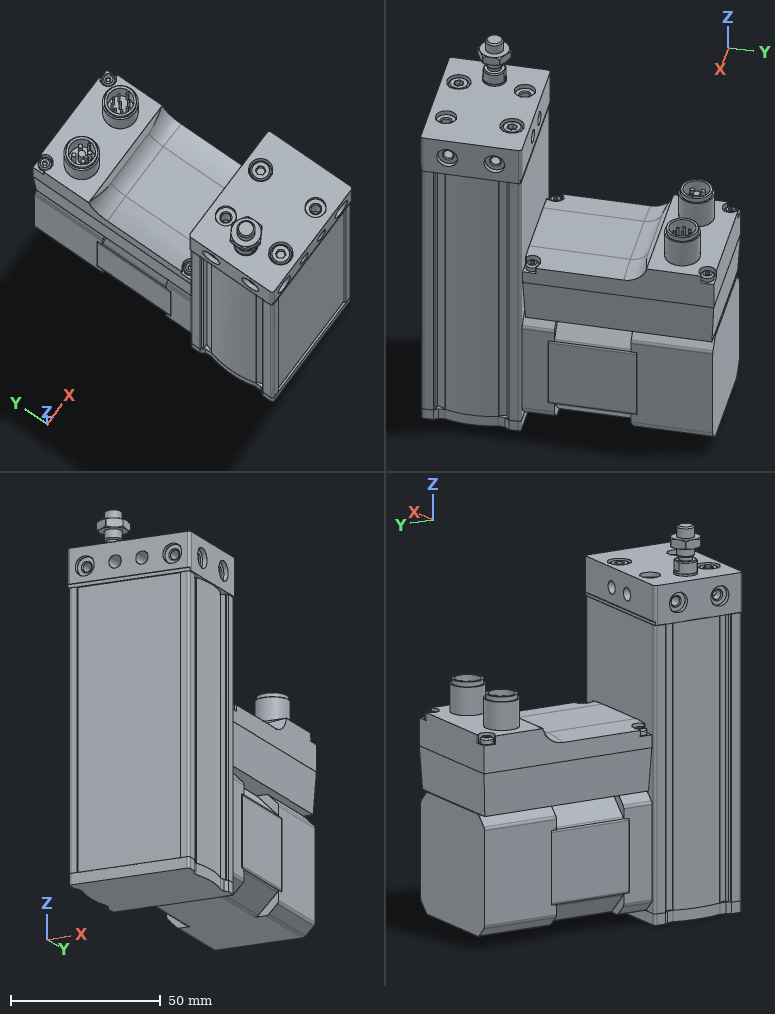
import cadquery as cq
import math


TOTAL_HEIGHT = 134.2
CAP_TOP = 4.0
HEAD_BOTTOM = 103.7
HEAD_TOP = 117.5

HEAD_WIDTH = 45.8
HEAD_DEPTH = 34.6
HEAD_CORNER_RADIUS = 1.1
HEAD_LEDGE_HEIGHT = 1.2
HEAD_LEDGE_STEP = 0.4
CROSS_HOLE_DIAMETER = 4.5
CROSS_HOLE_X = 5.0
SIDE_HOLE_Z = 110.6
SIDE_HOLE_Y = 8.0
FRONT_HOLE_X = 16.2
TOP_HOLE_X = 9.9
TOP_HOLE_Y = 11.3
RECESS_DIAMETER = 7.0
RECESS_DEPTH = 1.6
THREAD_DIAMETER = 3.2
THREAD_MOUTH_DIAMETER = 4.0
THREADED_HOLE_DEPTH = 10.0

SCREW_BORE_DIAMETER = 8.0
SCREW_BORE_DEPTH = 4.0
SCREW_HEAD_DIAMETER = 7.0
SCREW_HEAD_SINK = 0.4
SCREW_HEAD_CHAMFER = 0.5
SCREW_SOCKET_FLATS = 3.0
SCREW_SOCKET_DEPTH = 2.0

PROFILE_HALF_WIDTH = 22.4
PROFILE_HALF_DEPTH = 17.0
PROFILE_CORNER_RADIUS = 1.0
PANEL_HALF_WIDTH = 19.2
PANEL_RECESS = 0.8
BULGE_HALF_DEPTH = 9.1
BULGE_RISE = 1.2
SLOT_OUTER_Y = 12.9
SLOT_LIP = 0.8
SLOT_DEPTH = 2.7
SLOT_BULGE_DEPTH = 1.6
CAP_NOTCH_SLOPE = 1.5
CAP_NOTCH_DEPTH = 1.1

ROD_X = -14.1
ROD_DIAMETER = 8.0
COLLAR_DIAMETER = 7.8
COLLAR_BOTTOM = 118.2
COLLAR_FLATS = 7.1
FLATS_BOTTOM = 118.9
COLLAR_TOP = 122.4
COLLAR_CHAMFER = 0.4
NECK_DIAMETER = 4.7
NECK_TOP = 123.6
ROD_THREAD_DIAMETER = 6.0
ROD_THREAD_CHAMFER = 0.5
NUT_BOTTOM = 127.1
NUT_HEIGHT = 3.2
NUT_FLATS = 10.0
NUT_CORNER_DIAMETER = 11.5
NUT_CORNER_BEVEL = 0.4

MOTOR_BOTTOM = 4.0
MOTOR_TOP = 46.3
MOTOR_BACK = 82.1
MOTOR_HALF_WIDTH = 20.8
MOTOR_END_CHAMFER = 4.0
MOTOR_MID_CHAMFER = 8.0
MOTOR_EDGE_RADIUS = 1.6
MOTOR_MID_FRONT = 28.0
MOTOR_MID_BACK = 54.2
MOTOR_PLATE_OVERLAP = 2.0
MOTOR_PLATE_RISE = 0.3
MOTOR_PLATE_RADIUS = 0.8

ELECTRONICS_FRONT = 17.3
ELECTRONICS_BACK = 82.5
ELECTRONICS_HALF_WIDTH = 21.1
ELECTRONICS_INSET = 0.8
LID_BOTTOM = 61.3
LID_TOP = 73.8
DECK_Z = 69.0
DECK_HALF_FLAT = 10.7
DECK_EDGE_DROP = 1.1
DECK_BACK = 51.8
DECK_RAMP_RADIUS = 7.1
RAMP_TOP_Y = 59.6
RAMP_EDGE_Y = 57.8
LID_SCREW_X = 18.1
LID_SCREW_BACK_Y = 79.7
LID_SCREW_FRONT_Y = 20.0
LID_POCKET_DIAMETER = 5.5
LID_CORNER_NOTCH = 4.4
LID_POCKET_BACK_FLOOR = 71.0
LID_POCKET_FRONT_FLOOR = 65.8
LID_SCREW_DIAMETER = 4.4
LID_SCREW_HEIGHT = 2.1
LID_SCREW_CHAMFER = 0.7
LID_SOCKET_FLATS = 1.5
LID_SOCKET_DEPTH = 1.3

CONNECTOR_X = 11.0
CONNECTOR_Y = 69.6
CONNECTOR_TOP = 85.2
CONNECTOR_DIAMETER = 12.0
CONNECTOR_RIM_DIAMETER = 10.7
CONNECTOR_RIM_HEIGHT = 1.6
CONNECTOR_BORE_DIAMETER = 9.0
CONNECTOR_BORE_DEPTH = 8.0
PIN_SINK = 1.9
POWER_PIN_DIAMETER = 1.5
POWER_PIN_OFFSET = 1.9
POWER_POST_DIAMETER = 2.4
POWER_RIB_WIDTH = 0.8
POWER_RIB_REACH = 2.4
SIGNAL_PIN_DIAMETER = 0.8
SIGNAL_PIN_RADIUS = 2.8
SIGNAL_PIN_POSITIONS = 8
KEY_WIDTH = 0.8
KEY_DEPTH = 0.8


def box(x0, x1, y0, y1, z0, z1):
    """Box between two opposite corners."""
    return cq.Workplane("XY").box(x1 - x0, y1 - y0, z1 - z0, centered=False).translate((x0, y0, z0))


def cylinder(diameter, x, y, z0, z1):
    """Vertical cylinder between two heights."""
    return cq.Workplane("XY", origin=(x, y, z0)).circle(diameter / 2).extrude(z1 - z0)


def hexagon(flats, x, y, z0, z1, turn=0):
    """Vertical hexagonal prism with corners on +X and -X, turned about its axis by an angle."""
    corners = flats / math.cos(math.pi / 6)
    prism = cq.Workplane("XY").polygon(6, corners).extrude(z1 - z0)
    return prism.rotate((0, 0, 0), (0, 0, 1), turn).translate((x, y, z0))


def threaded_hole_tool(point, inward):
    """Recess, bevelled mouth, drilled hole and drill tip, running from a surface point inward."""
    mouth_bevel = (THREAD_MOUTH_DIAMETER - THREAD_DIAMETER) / 2
    tip_length = THREAD_DIAMETER / 2 * math.tan(math.radians(30))
    tool = (
        cq.Workplane("XZ")
        .moveTo(0, 0)
        .lineTo(RECESS_DIAMETER / 2, 0)
        .lineTo(RECESS_DIAMETER / 2, RECESS_DEPTH)
        .lineTo(THREAD_MOUTH_DIAMETER / 2, RECESS_DEPTH)
        .lineTo(THREAD_DIAMETER / 2, RECESS_DEPTH + mouth_bevel)
        .lineTo(THREAD_DIAMETER / 2, THREADED_HOLE_DEPTH - tip_length)
        .lineTo(0, THREADED_HOLE_DEPTH)
        .close()
        .revolve(360, (0, 0, 0), (0, 1, 0))
    )
    placement = cq.Location(cq.Plane(origin=point, normal=inward))
    return cq.Workplane(tool.val().moved(placement))


def head_screw(x, y):
    """Socket-head screw head standing in its bore."""
    top = HEAD_TOP - SCREW_HEAD_SINK
    screw = cylinder(SCREW_HEAD_DIAMETER, x, y, HEAD_TOP - SCREW_BORE_DEPTH, top)
    screw = screw.faces(">Z").edges().chamfer(SCREW_HEAD_CHAMFER)
    return screw.cut(hexagon(SCREW_SOCKET_FLATS, x, y, top - SCREW_SOCKET_DEPTH, top))


def make_head():
    half_width = HEAD_WIDTH / 2
    half_depth = HEAD_DEPTH / 2
    head = box(-half_width, half_width, -half_depth, half_depth, HEAD_BOTTOM, HEAD_TOP)
    head = head.edges("|Z").fillet(HEAD_CORNER_RADIUS)

    ledge_top = HEAD_BOTTOM + HEAD_LEDGE_HEIGHT
    ledge_y = half_depth - HEAD_LEDGE_STEP
    head = head.cut(box(-half_width, half_width, -half_depth, -ledge_y, HEAD_BOTTOM, ledge_top))
    head = head.cut(box(-half_width, half_width, ledge_y, half_depth, HEAD_BOTTOM, ledge_top))

    for x in (-CROSS_HOLE_X, CROSS_HOLE_X):
        hole = cq.Workplane("XZ", origin=(x, half_depth, SIDE_HOLE_Z)).circle(CROSS_HOLE_DIAMETER / 2)
        head = head.cut(hole.extrude(HEAD_DEPTH))

    for sign in (-1, 1):
        front_point = (sign * FRONT_HOLE_X, -half_depth, SIDE_HOLE_Z)
        top_point = (sign * TOP_HOLE_X, -sign * TOP_HOLE_Y, HEAD_TOP)
        head = head.cut(threaded_hole_tool(front_point, (0, 1, 0)))
        for side in (-1, 1):
            side_point = (side * half_width, sign * SIDE_HOLE_Y, SIDE_HOLE_Z)
            head = head.cut(threaded_hole_tool(side_point, (-side, 0, 0)))
        head = head.cut(threaded_hole_tool(top_point, (0, 0, -1)))

    for sign in (-1, 1):
        x = sign * TOP_HOLE_X
        y = sign * TOP_HOLE_Y
        head = head.cut(cylinder(SCREW_BORE_DIAMETER, x, y, HEAD_TOP - SCREW_BORE_DEPTH, HEAD_TOP))
        head = head.union(head_screw(x, y))

    return head.cut(cylinder(ROD_DIAMETER, ROD_X, 0, HEAD_BOTTOM, HEAD_TOP))


def bulged_section(z0, z1, notch):
    """Rounded rectangle whose sides have a shallow bulge between two notches of the given points.

    Each notch point is (distance from Y = 0, depth below the side), from the corner to the bulge.
    """
    section = box(
        -PROFILE_HALF_WIDTH, PROFILE_HALF_WIDTH, -PROFILE_HALF_DEPTH, PROFILE_HALF_DEPTH, z0, z1
    )
    section = section.edges("|Z").fillet(PROFILE_CORNER_RADIUS)
    side = PROFILE_HALF_WIDTH
    path = [(side - depth, -y) for y, depth in notch]
    mirrored = [(x, -y) for x, y in reversed(path)]
    bulge_x = side - BULGE_RISE
    tool = (
        cq.Workplane("XY", origin=(0, 0, z0))
        .polyline(path)
        .lineTo(bulge_x, -BULGE_HALF_DEPTH)
        .threePointArc((side, 0), (bulge_x, BULGE_HALF_DEPTH))
        .lineTo(*mirrored[0])
    )
    for point in mirrored[1:]:
        tool = tool.lineTo(*point)
    overrun = side + BULGE_RISE
    tool = tool.lineTo(overrun, SLOT_OUTER_Y).lineTo(overrun, -SLOT_OUTER_Y).close().extrude(z1 - z0)
    return section.cut(tool).cut(tool.mirror("YZ"))


def make_profile():
    slot_wall = SLOT_OUTER_Y - SLOT_LIP
    notch = [
        (SLOT_OUTER_Y, SLOT_LIP),
        (slot_wall, SLOT_LIP),
        (slot_wall, SLOT_DEPTH),
        (BULGE_HALF_DEPTH, SLOT_BULGE_DEPTH),
    ]
    profile = bulged_section(CAP_TOP, HEAD_BOTTOM, notch)
    panel_y = -PROFILE_HALF_DEPTH + PANEL_RECESS
    panel = box(
        -PANEL_HALF_WIDTH, PANEL_HALF_WIDTH, -PROFILE_HALF_DEPTH, panel_y, CAP_TOP, HEAD_BOTTOM
    )
    return profile.cut(panel)


def make_end_cap():
    notch = [(SLOT_OUTER_Y, 0), (SLOT_OUTER_Y - CAP_NOTCH_SLOPE, CAP_NOTCH_DEPTH)]
    return bulged_section(0, CAP_TOP, notch)


def make_rod():
    shank = cylinder(ROD_DIAMETER, ROD_X, 0, HEAD_BOTTOM, COLLAR_BOTTOM)
    collar = cylinder(COLLAR_DIAMETER, ROD_X, 0, COLLAR_BOTTOM, COLLAR_TOP)
    collar = collar.faces(">Z").edges().chamfer(COLLAR_CHAMFER)

    half_flats = COLLAR_FLATS / 2
    outside = COLLAR_DIAMETER / 2
    left = ROD_X - outside
    right = ROD_X + outside
    collar = collar.cut(box(left, right, half_flats, outside, FLATS_BOTTOM, COLLAR_TOP))
    collar = collar.cut(box(left, right, -outside, -half_flats, FLATS_BOTTOM, COLLAR_TOP))

    neck = cylinder(NECK_DIAMETER, ROD_X, 0, COLLAR_TOP, NECK_TOP)
    thread = cylinder(ROD_THREAD_DIAMETER, ROD_X, 0, NECK_TOP, TOTAL_HEIGHT)
    thread = thread.faces("<Z or >Z").edges().chamfer(ROD_THREAD_CHAMFER)
    return shank.union(collar).union(neck).union(thread)


def make_nut():
    nut_top = NUT_BOTTOM + NUT_HEIGHT
    nut = hexagon(NUT_FLATS, ROD_X, 0, NUT_BOTTOM, nut_top, 30)
    envelope = cylinder(NUT_CORNER_DIAMETER, ROD_X, 0, NUT_BOTTOM, nut_top)
    bevel_width = (NUT_CORNER_DIAMETER - NUT_FLATS) / 2
    envelope = envelope.faces("<Z or >Z").edges().chamfer(NUT_CORNER_BEVEL, bevel_width)
    nut = nut.intersect(envelope)
    return nut.cut(cylinder(ROD_THREAD_DIAMETER, ROD_X, 0, NUT_BOTTOM, nut_top))


def motor_block(y0, y1, chamfer):
    """Square motor section with chamfered and rounded long edges."""
    block = box(-MOTOR_HALF_WIDTH, MOTOR_HALF_WIDTH, y0, y1, MOTOR_BOTTOM, MOTOR_TOP)
    return block.edges("|Y").chamfer(chamfer).edges("|Y").fillet(MOTOR_EDGE_RADIUS)


def make_motor():
    motor = motor_block(MOTOR_MID_FRONT, MOTOR_MID_BACK, MOTOR_MID_CHAMFER)
    motor = motor.union(motor_block(PROFILE_HALF_DEPTH, MOTOR_MID_FRONT, MOTOR_END_CHAMFER))
    motor = motor.union(motor_block(MOTOR_MID_BACK, MOTOR_BACK, MOTOR_END_CHAMFER))

    plate_x = MOTOR_HALF_WIDTH + MOTOR_PLATE_RISE
    plate = box(
        -plate_x,
        plate_x,
        MOTOR_MID_FRONT - MOTOR_PLATE_OVERLAP,
        MOTOR_MID_BACK + MOTOR_PLATE_OVERLAP,
        MOTOR_BOTTOM + MOTOR_MID_CHAMFER,
        MOTOR_TOP - MOTOR_MID_CHAMFER,
    )
    return motor.union(plate.edges("|Y").fillet(MOTOR_PLATE_RADIUS))


def make_electronics_base():
    """Box that narrows downward on all four sides."""
    height = LID_BOTTOM - MOTOR_TOP
    draft = math.degrees(math.atan(ELECTRONICS_INSET / height))
    middle_y = (ELECTRONICS_FRONT + ELECTRONICS_BACK) / 2
    return (
        cq.Workplane("XY", origin=(0, middle_y, LID_BOTTOM))
        .rect(2 * ELECTRONICS_HALF_WIDTH, ELECTRONICS_BACK - ELECTRONICS_FRONT)
        .extrude(-height, taper=draft)
    )


def deck_section(y):
    """Space above the low deck: flat in the middle, rounded down towards both flanks."""
    axis_z = DECK_Z + DECK_RAMP_RADIUS
    run = ELECTRONICS_HALF_WIDTH - DECK_HALF_FLAT
    flank_radius = (run**2 + DECK_EDGE_DROP**2) / (2 * DECK_EDGE_DROP)
    half_run = run / 2
    half_drop = flank_radius - math.sqrt(flank_radius**2 - half_run**2)
    middle_x = DECK_HALF_FLAT + half_run
    middle_z = DECK_Z - half_drop
    edge_z = DECK_Z - DECK_EDGE_DROP
    return (
        cq.Workplane("XZ", origin=(0, y, 0))
        .moveTo(-ELECTRONICS_HALF_WIDTH, axis_z)
        .lineTo(-ELECTRONICS_HALF_WIDTH, edge_z)
        .threePointArc((-middle_x, middle_z), (-DECK_HALF_FLAT, DECK_Z))
        .lineTo(DECK_HALF_FLAT, DECK_Z)
        .threePointArc((middle_x, middle_z), (ELECTRONICS_HALF_WIDTH, edge_z))
        .lineTo(ELECTRONICS_HALF_WIDTH, axis_z)
        .close()
    )


def deck_tool():
    """Low deck, the curved ramp behind it and the flat bevel at the ramp's top."""
    axis_z = DECK_Z + DECK_RAMP_RADIUS
    deck = deck_section(DECK_BACK).extrude(DECK_BACK - ELECTRONICS_FRONT)
    ramp = deck_section(DECK_BACK).revolve(180, (-1.3, axis_z, 0), (1.3, axis_z, 0))
    ramp_edge_z = axis_z - math.sqrt(DECK_RAMP_RADIUS**2 - (RAMP_EDGE_Y - DECK_BACK) ** 2)
    bevel = (
        cq.Workplane("YZ", origin=(-ELECTRONICS_HALF_WIDTH, 0, 0))
        .polyline([(DECK_BACK, LID_TOP), (RAMP_EDGE_Y, ramp_edge_z), (RAMP_TOP_Y, LID_TOP)])
        .close()
        .extrude(2 * ELECTRONICS_HALF_WIDTH)
    )
    return deck.union(ramp).union(bevel)


def lid_screw_pocket(side, screw_y, floor, corner_y, inward):
    """Round pocket joined to a square notch that removes the nearest corner of the lid."""
    pocket = cylinder(LID_POCKET_DIAMETER, side * LID_SCREW_X, screw_y, floor, LID_TOP)
    corner_x = side * ELECTRONICS_HALF_WIDTH
    x0, x1 = sorted((corner_x, corner_x - side * LID_CORNER_NOTCH))
    y0, y1 = sorted((corner_y, corner_y + inward * LID_CORNER_NOTCH))
    return pocket.union(box(x0, x1, y0, y1, floor, LID_TOP))


def lid_screw(side, y, floor):
    """Chamfered screw head with a hexagonal socket."""
    x = side * LID_SCREW_X
    top = floor + LID_SCREW_HEIGHT
    screw = cylinder(LID_SCREW_DIAMETER, x, y, floor, top).faces(">Z").edges().chamfer(LID_SCREW_CHAMFER)
    return screw.cut(hexagon(LID_SOCKET_FLATS, x, y, top - LID_SOCKET_DEPTH, top))


def connector_shell(x):
    """Round socket with a stepped rim, a bore and a key inside the bore on +X."""
    bore_floor = CONNECTOR_TOP - CONNECTOR_BORE_DEPTH
    shell = cylinder(CONNECTOR_DIAMETER, x, CONNECTOR_Y, LID_TOP, CONNECTOR_TOP - CONNECTOR_RIM_HEIGHT)
    shell = shell.union(cylinder(CONNECTOR_RIM_DIAMETER, x, CONNECTOR_Y, LID_TOP, CONNECTOR_TOP))
    shell = shell.cut(cylinder(CONNECTOR_BORE_DIAMETER, x, CONNECTOR_Y, bore_floor, CONNECTOR_TOP))
    bore_x = x + CONNECTOR_BORE_DIAMETER / 2
    wall_middle_x = x + (CONNECTOR_BORE_DIAMETER + CONNECTOR_RIM_DIAMETER) / 4
    key = box(
        bore_x - KEY_DEPTH,
        wall_middle_x,
        CONNECTOR_Y - KEY_WIDTH / 2,
        CONNECTOR_Y + KEY_WIDTH / 2,
        bore_floor,
        CONNECTOR_TOP - PIN_SINK,
    )
    return shell.union(key)


def connector_pin(diameter, x, y):
    """Contact pin standing on the floor of a connector bore."""
    return cylinder(diameter, x, y, CONNECTOR_TOP - CONNECTOR_BORE_DEPTH, CONNECTOR_TOP - PIN_SINK)


def power_connector():
    """Connector with four pins around a centre post that carries a rib."""
    x = -CONNECTOR_X
    connector = connector_shell(x)
    for dx in (-POWER_PIN_OFFSET, POWER_PIN_OFFSET):
        for dy in (-POWER_PIN_OFFSET, POWER_PIN_OFFSET):
            connector = connector.union(connector_pin(POWER_PIN_DIAMETER, x + dx, CONNECTOR_Y + dy))
    connector = connector.union(connector_pin(POWER_POST_DIAMETER, x, CONNECTOR_Y))
    rib = box(
        x - POWER_RIB_WIDTH / 2,
        x + POWER_RIB_WIDTH / 2,
        CONNECTOR_Y - POWER_RIB_REACH,
        CONNECTOR_Y,
        CONNECTOR_TOP - CONNECTOR_BORE_DEPTH,
        CONNECTOR_TOP - PIN_SINK,
    )
    return connector.union(rib)


def signal_connector():
    """Connector with a centre pin and a ring of pins that leaves the key's place free."""
    x = CONNECTOR_X
    connector = connector_shell(x).union(connector_pin(SIGNAL_PIN_DIAMETER, x, CONNECTOR_Y))
    for place in range(1, SIGNAL_PIN_POSITIONS):
        angle = 2 * math.pi * place / SIGNAL_PIN_POSITIONS
        pin_x = x + SIGNAL_PIN_RADIUS * math.cos(angle)
        pin_y = CONNECTOR_Y + SIGNAL_PIN_RADIUS * math.sin(angle)
        connector = connector.union(connector_pin(SIGNAL_PIN_DIAMETER, pin_x, pin_y))
    return connector


def make_electronics_lid():
    lid = box(
        -ELECTRONICS_HALF_WIDTH,
        ELECTRONICS_HALF_WIDTH,
        ELECTRONICS_FRONT,
        ELECTRONICS_BACK,
        LID_BOTTOM,
        LID_TOP,
    )
    lid = lid.cut(deck_tool())
    for side in (-1, 1):
        for screw_y, floor, corner_y, inward in (
            (LID_SCREW_BACK_Y, LID_POCKET_BACK_FLOOR, ELECTRONICS_BACK, -1),
            (LID_SCREW_FRONT_Y, LID_POCKET_FRONT_FLOOR, ELECTRONICS_FRONT, 1),
        ):
            lid = lid.cut(lid_screw_pocket(side, screw_y, floor, corner_y, inward))
            lid = lid.union(lid_screw(side, screw_y, floor))
    return lid.union(power_connector()).union(signal_connector())


head = make_head()
profile = make_profile()
end_cap = make_end_cap()
rod = make_rod()
nut = make_nut()
motor = make_motor()
electronics_base = make_electronics_base()
electronics_lid = make_electronics_lid()

result = cq.Compound.makeCompound(
    [
        head.val(),
        profile.val(),
        end_cap.val(),
        rod.val(),
        nut.val(),
        motor.val(),
        electronics_base.val(),
        electronics_lid.val(),
    ]
)